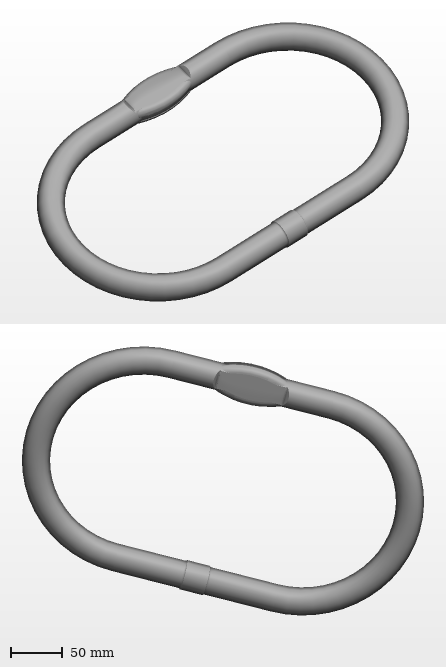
import cadquery as cq
import math

overall_length = 393.5
ring_width = 234.0
bar_diameter = 27.0
bar_radius = bar_diameter / 2
bend_radius = (ring_width - bar_diameter) / 2
half_straight = (overall_length - ring_width) / 2

band_radius = 29.0 / 2
band_length = 23.0
blend_length = 1.5

flat_height = 10.0
flat_length = 65.5
ledge_length = 1.0
ledge_drop = 0.5
flat_end_slope = 50.0
bulge_half_width = 19.3
bulge_arc_radius = 86.5
bulge_sweep = 48.0
edge_round = 6.5
groove_depth = 0.8


def make_ring():
    path = (
        cq.Workplane("XY")
        .moveTo(bend_radius, -half_straight)
        .lineTo(bend_radius, half_straight)
        .threePointArc((0, half_straight + bend_radius), (-bend_radius, half_straight))
        .lineTo(-bend_radius, -half_straight)
        .threePointArc((0, -half_straight - bend_radius), (bend_radius, -half_straight))
        .close()
    )
    section = cq.Workplane("XZ", origin=(bend_radius, -half_straight, 0)).circle(bar_radius)
    return section.sweep(path)


def make_band():
    """Band whose ends run down to the bar in small concave blends tangent to it."""
    half_band = band_length / 2
    half_total = half_band + blend_length
    rise = band_radius - bar_radius
    blend_radius = (blend_length**2 + rise**2) / (2 * rise)
    half_angle = math.atan2(rise, blend_length)
    mid_x = bar_radius + blend_radius * (1 - math.cos(half_angle))
    mid_y = half_total - blend_radius * math.sin(half_angle)
    return (
        cq.Workplane("XY")
        .moveTo(0, -half_total)
        .lineTo(bar_radius, -half_total)
        .threePointArc((mid_x, -mid_y), (band_radius, -half_band))
        .lineTo(band_radius, half_band)
        .threePointArc((mid_x, mid_y), (bar_radius, half_total))
        .lineTo(0, half_total)
        .close()
        .revolve(360, (0, 0, 0), (0, 1, 0))
        .translate((bend_radius, 0, 0))
    )


def make_flat_cutter():
    """Cutter above the upper flat, with a narrow lower ledge and a slope at each end."""
    cut_height = bar_radius
    half_flat = flat_length / 2
    half_floor = half_flat + ledge_length
    half_top = half_floor + cut_height / math.tan(math.radians(flat_end_slope))
    ledge_height = flat_height - ledge_drop
    top_height = ledge_height + cut_height
    half_outline = [
        (half_flat, flat_height),
        (half_flat, ledge_height),
        (half_floor, ledge_height),
        (half_top, top_height),
    ]
    mirrored_half = [(-y, z) for y, z in reversed(half_outline)]
    return (
        cq.Workplane("YZ")
        .polyline(half_outline + mirrored_half)
        .close()
        .extrude(bar_radius, both=True)
        .translate((-bend_radius, 0, 0))
    )


def make_bulge():
    """Bulge on the +X side of a bar along Y: a grooved, rounded section swept on an arc."""
    axis_x = bulge_half_width - bulge_arc_radius
    round_x = bulge_half_width - edge_round
    round_z = flat_height - edge_round
    groove_x = bulge_half_width - groove_depth
    diagonal = edge_round * math.sqrt(0.5)
    return (
        cq.Workplane("XZ")
        .moveTo(0, -flat_height)
        .lineTo(round_x, -flat_height)
        .threePointArc((round_x + diagonal, -round_z - diagonal), (bulge_half_width, -round_z))
        .lineTo(groove_x, -round_z)
        .lineTo(groove_x, round_z)
        .lineTo(bulge_half_width, round_z)
        .threePointArc((round_x + diagonal, round_z + diagonal), (round_x, flat_height))
        .lineTo(0, flat_height)
        .close()
        .revolve(bulge_sweep, (axis_x, 0, 0), (axis_x, 1, 0))
        .rotate((axis_x, 0, 0), (axis_x, 0, 1), -bulge_sweep / 2)
    )


result = make_ring().union(make_band())
upper_cutter = make_flat_cutter()
result = result.cut(upper_cutter).cut(upper_cutter.mirror("XY"))
right_bulge = make_bulge()
for bulge in (right_bulge, right_bulge.mirror("YZ")):
    result = result.union(bulge.translate((-bend_radius, 0, 0)))